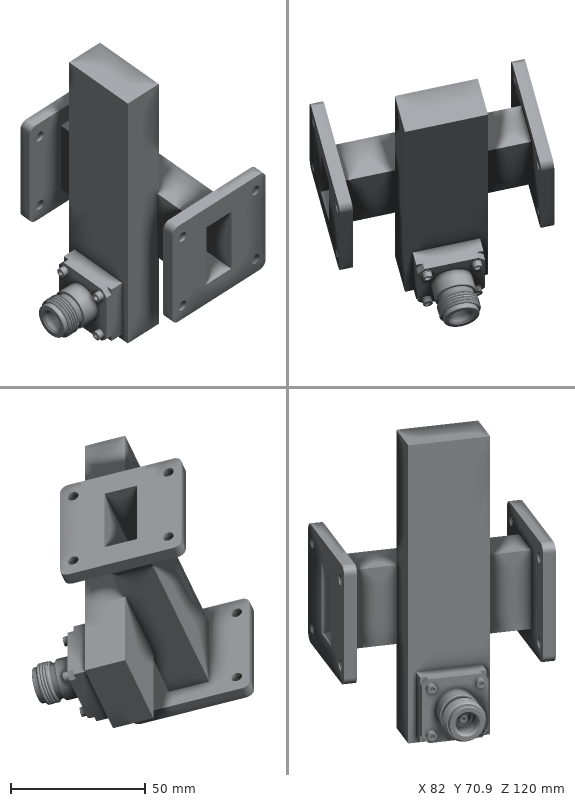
import cadquery as cq

guide_height = 28.5
guide_width = 12.62
wall = 1.63
tube_height = guide_height + 2 * wall
tube_width = guide_width + 2 * wall

main_length = 82.0
flange_side = 47.8
flange_thickness = 5.0
flange_corner_radius = 3.2
flange_hole_diameter = 4.17
flange_hole_pitch_y = 37.5
flange_hole_pitch_z = 34.34

column_length = 120.0
column_center_z = 10.0
column_back_y = -7.0
column_bottom_z = column_center_z - column_length / 2
column_front_y = column_back_y - tube_width
cap_thickness = wall

mount_side = 25.7
block_thickness = 5.5
plate_thickness = 2.5
plate_corner_cut = 2.54
connector_height = 15.5
connector_z = column_bottom_z + connector_height
plate_front_y = column_front_y - block_thickness - plate_thickness

screw_pitch = 19.05
screw_base_diameter = 3.86
screw_base_height = 0.3
screw_head_diameter = 3.66
screw_head_height = 2.4
screw_top_diameter = 3.05
screw_bevel_height = 0.08
socket_across_corners = 2.2
socket_depth = 1.4

overall_depth = 70.91
connector_tip_y = flange_side / 2 - overall_depth
barrel_length = plate_front_y - connector_tip_y
collar_diameter = 15.88
collar_length = 6.7
neck_diameter = 13.72
barrel_edge = 0.2
thread_start = 9.0
thread_end = 14.2
thread_bevel = 0.6
thread_pitch = 25.4 / 24
thread_depth = 0.6
thread_margin = 0.75
thread_groove_width = 0.8 * thread_pitch

bore_mouth_diameter = 9.9
bore_diameter = 8.4
bore_depth = 7.0
inner_bore_diameter = 6.99
inner_bore_depth = 10.0
pin_diameter = 3.05
pin_recess = 5.0
pin_hole_diameter = 1.52
pin_hole_depth = 3.0


def box(size_x, y_front, y_back, size_z, center_z):
    """Box centred on X and on center_z, spanning y_front to y_back."""
    center_y = (y_front + y_back) / 2
    return cq.Workplane("XY").box(size_x, y_back - y_front, size_z).translate((0, center_y, center_z))


def connector_plane(offset):
    """Workplane on the connector axis, offset in front of the plate, facing -Y."""
    return cq.Workplane("XZ", origin=(0, plate_front_y - offset, connector_z))


def make_flange(x_start):
    holes = cq.Workplane("YZ", origin=(x_start, 0, 0))
    holes = holes.rect(flange_hole_pitch_y, flange_hole_pitch_z, forConstruction=True).vertices()
    holes = holes.circle(flange_hole_diameter / 2).extrude(flange_thickness)
    plate = cq.Workplane("YZ", origin=(x_start, 0, 0)).rect(flange_side, flange_side)
    plate = plate.extrude(flange_thickness).edges("|X").fillet(flange_corner_radius)
    return plate.cut(holes)


def make_main_guide():
    guide = cq.Workplane("XY").box(main_length, tube_width, tube_height)
    for x_start in (-main_length / 2, main_length / 2 - flange_thickness):
        guide = guide.union(make_flange(x_start))
    return guide


def make_column():
    """Coupled guide with an end cap at each end, the joints kept as edges."""
    tube_length = column_length - 2 * cap_thickness
    column = box(tube_height, column_front_y, column_back_y, tube_length, column_center_z)
    cap_offset = (column_length - cap_thickness) / 2
    for cap_z in (column_center_z - cap_offset, column_center_z + cap_offset):
        cap = box(tube_height, column_front_y, column_back_y, cap_thickness, cap_z)
        column = column.union(cap, clean=False)
    return column


def make_mount():
    block_front_y = column_front_y - block_thickness
    block = box(mount_side, block_front_y, column_front_y, mount_side, connector_z)
    plate = box(mount_side, plate_front_y, block_front_y, mount_side, connector_z)
    return block.union(plate.edges("|Y").chamfer(plate_corner_cut), clean=False)


def make_screw():
    """Socket screw standing on the XY plane: thin base rim, bevelled head, hexagon socket."""
    screw = cq.Workplane("XY").circle(screw_base_diameter / 2).extrude(screw_base_height)
    head = cq.Workplane("XY").circle(screw_head_diameter / 2).extrude(screw_head_height)
    bevel_width = (screw_head_diameter - screw_top_diameter) / 2
    head = head.faces(">Z").chamfer(screw_bevel_height, bevel_width)
    screw = screw.union(head)
    top = cq.Workplane("XY", origin=(0, 0, screw_head_height))
    socket = top.polygon(6, socket_across_corners).extrude(-socket_depth)
    socket = socket.rotate((0, 0, 0), (0, 0, 1), 90)
    return screw.cut(socket)


def make_screws():
    screw = make_screw().val()
    places = connector_plane(0).rect(screw_pitch, screw_pitch, forConstruction=True).vertices()
    return places.eachpoint(screw, useLocalCoordinates=True)


def make_thread_groove():
    """V-shaped helical groove, kept clear of the bevels at both ends of the threaded band."""
    groove_length = thread_end - thread_start - 2 * thread_margin
    crest_radius = collar_diameter / 2
    root_radius = crest_radius - thread_depth
    clearance = 0.1
    outer_radius = crest_radius + clearance
    half_width = thread_groove_width / 2
    path = cq.Wire.makeHelix(thread_pitch, groove_length, root_radius)
    profile = cq.Workplane("XZ").polyline([
        (root_radius, 0),
        (outer_radius, half_width),
        (outer_radius, -half_width),
    ]).close()
    groove = profile.sweep(cq.Workplane(path), isFrenet=True)
    groove = groove.rotate((0, 0, 0), (1, 0, 0), 90)
    return groove.translate((0, plate_front_y - thread_start - thread_margin, connector_z))


def make_thread():
    length = thread_end - thread_start
    band = connector_plane(thread_start).circle(collar_diameter / 2).extrude(length)
    band = band.edges().chamfer(thread_bevel)
    return band.cut(make_thread_groove())


def make_barrel():
    collar = connector_plane(0).circle(collar_diameter / 2).extrude(collar_length)
    collar = collar.faces("<Y").edges().chamfer(barrel_edge)
    neck = connector_plane(0).circle(neck_diameter / 2).extrude(barrel_length)
    neck = neck.faces("<Y").edges().chamfer(barrel_edge)
    return collar.union(neck).union(make_thread())


def make_bore():
    """Stepped bore with a flared mouth, leaving the hollow centre pin standing."""
    flare = (bore_mouth_diameter - bore_diameter) / 2
    mouth_plane = connector_plane(barrel_length)
    bore = mouth_plane.circle(bore_diameter / 2).extrude(-bore_depth)
    mouth = mouth_plane.circle(bore_mouth_diameter / 2).workplane(offset=-flare)
    mouth = mouth.circle(bore_diameter / 2).loft(ruled=True)
    inner = mouth_plane.circle(inner_bore_diameter / 2).extrude(-inner_bore_depth)
    pin_tip = barrel_length - pin_recess
    pin_length = inner_bore_depth - pin_recess
    pin = connector_plane(pin_tip).circle(pin_diameter / 2).extrude(-pin_length)
    pin_hole = connector_plane(pin_tip).circle(pin_hole_diameter / 2).extrude(-pin_hole_depth)
    return bore.union(mouth).union(inner).cut(pin.cut(pin_hole))


def make_guide_opening():
    return cq.Workplane("XY").box(main_length, guide_width, guide_height)


body = make_main_guide()
for piece in (make_column(), make_mount(), make_barrel(), make_screws()):
    body = body.union(piece, clean=False)
for hollow in (make_bore(), make_guide_opening()):
    body = body.cut(hollow, clean=False)
result = body